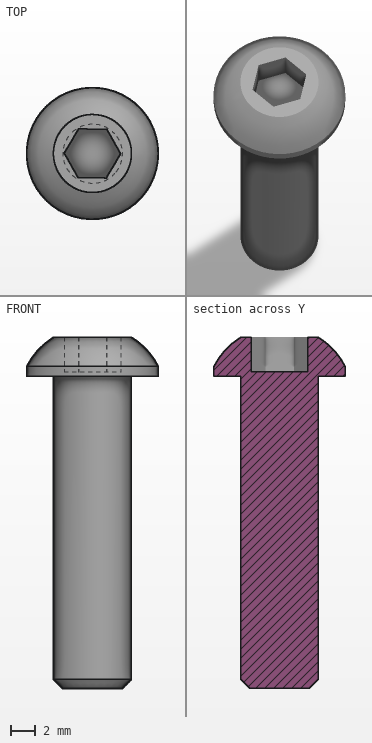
import cadquery as cq
import math

shank_diameter = 6.35
shank_length = 25.4
tip_chamfer = 0.762

head_diameter = 10.72
head_height = 3.175
rim_height = 0.8
crown_flat_diameter = shank_diameter

socket_across_flats = 3.969
socket_depth = 2.8
socket_sides = 6
socket_turn = -0.6

rim_radius = head_diameter / 2
flat_radius = crown_flat_diameter / 2
dome_centre_z = (
    (flat_radius**2 + head_height**2 - rim_radius**2 - rim_height**2)
    / (2 * (head_height - rim_height))
)
dome_radius = math.hypot(rim_radius, rim_height - dome_centre_z)


def make_head():
    """Cylinder of the rim diameter, trimmed by the dome sphere."""
    blank = cq.Workplane("XY").circle(rim_radius).extrude(head_height)
    dome = cq.Workplane("XY").sphere(dome_radius).translate((0, 0, dome_centre_z))
    return blank.intersect(dome)


def make_shank():
    """Plain cylinder below the head with a chamfered tip."""
    return (
        cq.Workplane("XY")
        .circle(shank_diameter / 2)
        .extrude(-shank_length)
        .faces("<Z")
        .chamfer(tip_chamfer)
    )


def make_socket():
    """Hexagonal drive socket, two corners close to the X axis."""
    across_corners = socket_across_flats / math.cos(math.pi / socket_sides)
    return (
        cq.Workplane("XY")
        .workplane(offset=head_height)
        .polygon(socket_sides, across_corners)
        .extrude(-socket_depth)
        .rotate((0, 0, 0), (0, 0, 1), socket_turn)
    )


result = make_head().union(make_shank()).cut(make_socket())